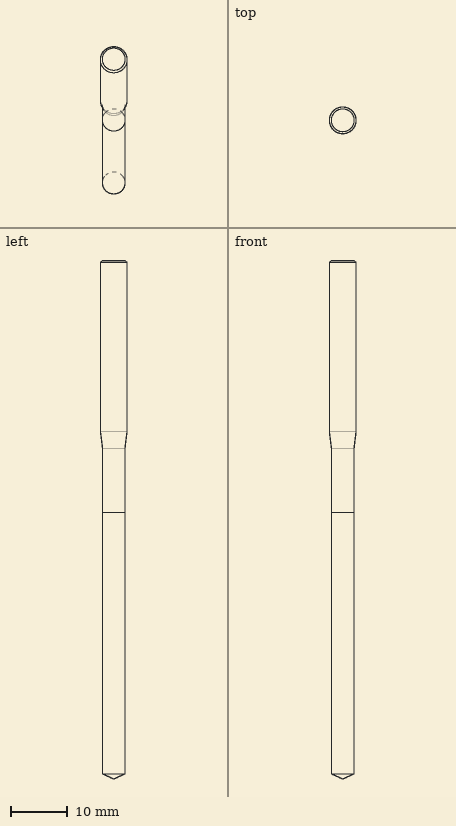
import cadquery as cq
import math

total_length = 91.4
shank_diameter = 4.75
shank_bottom = 61.2
shank_chamfer = 0.4

neck_diameter = 4.0
taper_bottom = 58.3

cutter_diameter = 4.0
cutter_length = 47.0
point_angle = 130.0

shank_radius = shank_diameter / 2
neck_radius = neck_diameter / 2
cutter_radius = cutter_diameter / 2
point_height = cutter_radius / math.tan(math.radians(point_angle / 2))


def revolve_profile(points):
    """Turn a closed (radius, height) profile about the Z axis."""
    return cq.Workplane("XZ").polyline(points).close().revolve(360, (0, 0, 0), (0, 1, 0))


def make_shank():
    """Chamfered shank that tapers down to the neck."""
    return revolve_profile([
        (0, cutter_length),
        (neck_radius, cutter_length),
        (neck_radius, taper_bottom),
        (shank_radius, shank_bottom),
        (shank_radius, total_length - shank_chamfer),
        (shank_radius - shank_chamfer, total_length),
        (0, total_length),
    ])


def make_cutter():
    """Cylindrical cutting end with a conical point, butted against the neck."""
    return revolve_profile([
        (0, 0),
        (cutter_radius, point_height),
        (cutter_radius, cutter_length),
        (0, cutter_length),
    ])


shank = make_shank()
cutter = make_cutter()

result = cq.Compound.makeCompound([shank.val(), cutter.val()])